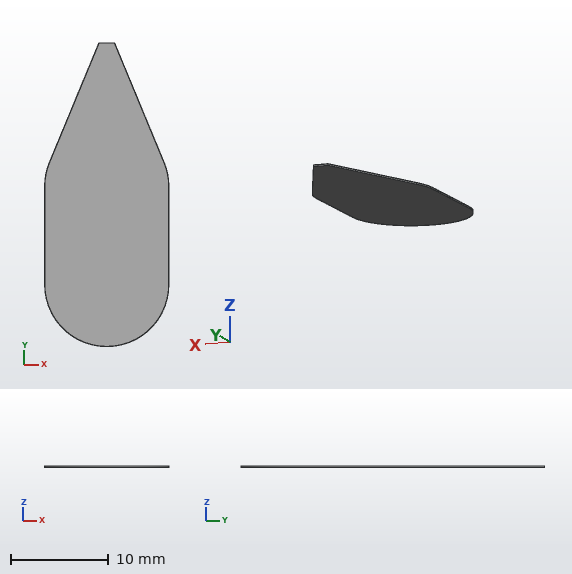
import cadquery as cq
import math

width = 12.7
length = 31.03
thickness = 0.18
tip_width = 1.6
taper_angle = 22.5

end_radius = width / 2
shoulder_radius = end_radius

tip_y = length - end_radius
taper_length = (width - tip_width) / 2 / math.tan(math.radians(taper_angle))
shoulder_y = tip_y - taper_length


def blade_profile():
    """Closed outline: round end, parallel sides and taper to a blunt tip."""
    return (
        cq.Workplane("XY")
        .moveTo(-end_radius, 0)
        .threePointArc((0, -end_radius), (end_radius, 0))
        .lineTo(end_radius, shoulder_y)
        .lineTo(tip_width / 2, tip_y)
        .lineTo(-tip_width / 2, tip_y)
        .lineTo(-end_radius, shoulder_y)
        .close()
    )


def round_shoulders(blade):
    """Blend the parallel sides into the tapered edges."""
    shoulder_zone = cq.selectors.BoxSelector(
        (-width, shoulder_y - tip_width / 2, -thickness),
        (width, shoulder_y + tip_width / 2, 2 * thickness),
    )
    return blade.edges("|Z").edges(shoulder_zone).fillet(shoulder_radius)


result = round_shoulders(blade_profile().extrude(thickness))